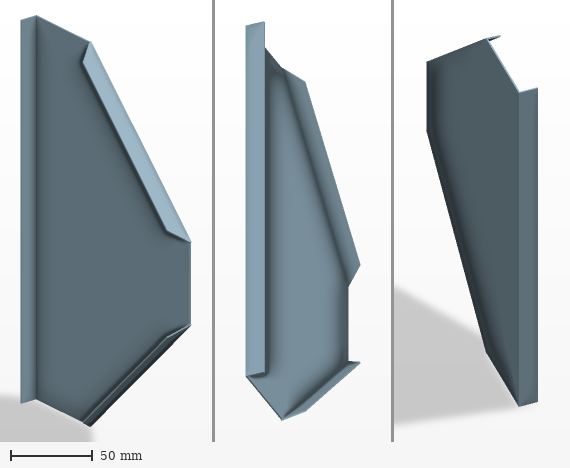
import cadquery as cq
import math

overall_width = 155.0
overall_height = 256.3
depth = 12.5
sheet = 1.0
end_height = 53.8

tip_overhang = sheet * math.sqrt(0.5)
plate_right = overall_width - tip_overhang
plate_top = overall_height / 2 - tip_overhang
end_top = end_height / 2
slope_rise = plate_top - end_top
shoulder = plate_right - slope_rise
slope_length = slope_rise * math.sqrt(2)
flange_drop = depth - sheet


def make_plate():
    outline = [
        (0, -plate_top),
        (shoulder, -plate_top),
        (plate_right, -end_top),
        (plate_right, end_top),
        (shoulder, plate_top),
        (0, plate_top),
    ]
    back = cq.Workplane("XZ", origin=(0, flange_drop, 0))
    return back.polyline(outline).close().extrude(-sheet)


def make_straight_flange():
    return cq.Workplane("XY").box(sheet, depth, 2 * plate_top, centered=(False, False, True))


def make_sloped_flange():
    """Upper flange along the 45 degree edge, its ends mitred at 45 degrees."""
    edge_plane = cq.Plane(origin=(shoulder, 0, plate_top), xDir=(1, 0, -1), normal=(1, 0, 1))
    outline = [
        (0, depth),
        (slope_length, depth),
        (slope_length, flange_drop),
        (slope_length - flange_drop, 0),
        (flange_drop, 0),
        (0, flange_drop),
    ]
    return cq.Workplane(edge_plane).polyline(outline).close().extrude(sheet)


upper_flange = make_sloped_flange()
lower_flange = upper_flange.mirror("XY")
result = make_plate().union(make_straight_flange()).union(upper_flange).union(lower_flange)